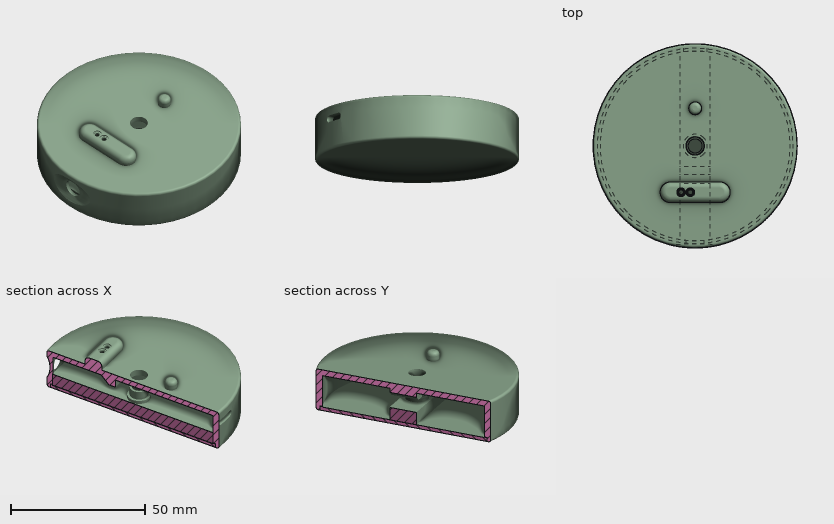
import cadquery as cq
import math

HOUSING_RADIUS = 38.0
HOUSING_HEIGHT = 16.7
RIM_FILLET = 1.0
CAVITY_RADIUS = 35.35
CEILING_Z = 14.2

OVERALL_HEIGHT = 20.2
RAISED_HEIGHT = OVERALL_HEIGHT - HOUSING_HEIGHT
STUD_LENGTH = 26.1
STUD_WIDTH = 7.7
STUD_FILLET = 2.2
STUD_Y = -17.25
PEG_DIAMETER = 4.8
PEG_FLAT_DIAMETER = 1.8
PEG_Y = 14.0

CENTRE_HOLE_DIAMETER = 6.6

PORT_Z = 9.05
THROAT_DIAMETER = 6.8
THROAT_RADIUS = THROAT_DIAMETER / 2
THROAT_START_RADIUS = 36.55
FLARE_HALF_WIDTH = 9.1
FLARE_HALF_HEIGHT = 5.55
FLARE_CURVE_POINTS = 24
CUT_MARGIN = 0.2

SLOT_WIDTH = 8.8
SLOT_HEIGHT = 2.5
SLOT_Z = 11.6

LID_DIAMETER = 72.8
LID_THICKNESS = 1.6

BLOCK_HALF_WIDTH = 5.55
BLOCK_FRONT_Y = -35.2
BLOCK_TOP_Z = 6.6
FLANGE_DIAMETER = 8.8
FLANGE_TOP_Z = 8.0
BUSHING_DIAMETER = 6.9
BUSHING_BORE_DIAMETER = 5.25
BUSHING_TOP_Z = 11.4

RIB_BOTTOM_Z = 10.95
RIB_FRONT_Y = -10.65
RIB_BACK_Y = -7.6
RIB_BEVEL = CEILING_Z - RIB_BOTTOM_Z

CONTACT_XS = (-5.25, -1.8)
CONTACT_DIAMETER = 2.8
CONTACT_BOTTOM_Z = 15.2
COUNTERBORE_DIAMETER = 3.2
COUNTERBORE_DEPTH = 0.45
CONTACT_TOP_Z = OVERALL_HEIGHT - COUNTERBORE_DEPTH
SOCKET_MOUTH_DIAMETER = 2.35
SOCKET_MOUTH_DEPTH = 0.15
SOCKET_DIAMETER = 1.8
SOCKET_DEPTH = 3.05


def cylinder(diameter, bottom_z, top_z, x=0.0, y=0.0):
    """Upright cylinder between two heights."""
    return cq.Workplane("XY", origin=(x, y, bottom_z)).circle(diameter / 2).extrude(top_z - bottom_z)


def make_stud():
    """Long rounded stud with fully rounded ends and a filleted top edge."""
    stud = cq.Workplane("XY", origin=(0, STUD_Y, HOUSING_HEIGHT)).slot2D(STUD_LENGTH, STUD_WIDTH)
    return stud.extrude(RAISED_HEIGHT).faces(">Z").edges().fillet(STUD_FILLET)


def make_peg():
    """Round peg whose fillet leaves a small flat on top."""
    peg = cylinder(PEG_DIAMETER, HOUSING_HEIGHT, OVERALL_HEIGHT, y=PEG_Y)
    return peg.faces(">Z").edges().fillet((PEG_DIAMETER - PEG_FLAT_DIAMETER) / 2)


def make_rib():
    """Rib hanging from the ceiling, with a 45 degree bevel on its -Y side."""
    profile = [
        (RIB_BACK_Y, CEILING_Z),
        (RIB_FRONT_Y - RIB_BEVEL, CEILING_Z),
        (RIB_FRONT_Y, RIB_BOTTOM_Z),
        (RIB_BACK_Y, RIB_BOTTOM_Z),
    ]
    return cq.Workplane("YZ").polyline(profile).close().extrude(BLOCK_HALF_WIDTH, both=True)


def wall_point(radius, x, height):
    """Point on the -Y side of an upright cylinder, at a height above the port axis."""
    return cq.Vector(x, -math.sqrt(radius**2 - x**2), PORT_Z + height)


def flare_rim(plane_y):
    """Closed curve in which the straight lines of the port flare cross a plane of constant Y.

    Each line joins the round start of the throat, inside the wall, to the oval rim on the outer wall.
    """
    angles = [2 * math.pi * i / FLARE_CURVE_POINTS for i in range(FLARE_CURVE_POINTS)]
    points = []
    for angle in angles:
        across, up = math.cos(angle), math.sin(angle)
        inner = wall_point(THROAT_START_RADIUS, THROAT_RADIUS * across, THROAT_RADIUS * up)
        outer = wall_point(HOUSING_RADIUS, FLARE_HALF_WIDTH * across, FLARE_HALF_HEIGHT * up)
        along = (plane_y - inner.y) / (outer.y - inner.y)
        points.append(inner + (outer - inner) * along)
    return cq.Edge.makeSpline(points, periodic=True, parameters=angles + [2 * math.pi])


def make_flare():
    """Flared cutter whose narrow end lies inside the throat and whose wide end is outside the wall."""
    throat_start_y = -math.sqrt(THROAT_START_RADIUS**2 - THROAT_RADIUS**2)
    inner_rim = flare_rim(throat_start_y + CUT_MARGIN)
    outer_rim = flare_rim(-HOUSING_RADIUS - CUT_MARGIN)
    side = cq.Face.makeRuledSurface(inner_rim, outer_rim)
    ends = [cq.Face.makeFromWires(cq.Wire.assembleEdges([rim])) for rim in (inner_rim, outer_rim)]
    return cq.Workplane(cq.Solid.makeSolid(cq.Shell.makeShell([side, *ends])))


def make_throat():
    """Round cutter for the inner part of the port, from within the flare into the cavity."""
    start = cq.Workplane("XZ", origin=(0, -THROAT_START_RADIUS, PORT_Z)).circle(THROAT_RADIUS)
    reach = THROAT_START_RADIUS - CAVITY_RADIUS + THROAT_RADIUS
    return start.extrude(-reach)


def make_cable_slot():
    """Flat round-ended slot from the cavity through the +Y wall."""
    start_y = CAVITY_RADIUS - SLOT_WIDTH / 2
    slot = cq.Workplane("XZ", origin=(0, start_y, SLOT_Z)).slot2D(SLOT_WIDTH, SLOT_HEIGHT)
    return slot.extrude(start_y - HOUSING_RADIUS)


def make_housing():
    """Hollow cap with its stud, peg, rib and openings."""
    housing = cylinder(2 * HOUSING_RADIUS, 0, HOUSING_HEIGHT)
    housing = housing.edges().fillet(RIM_FILLET)
    housing = housing.cut(cylinder(LID_DIAMETER, 0, LID_THICKNESS))
    housing = housing.cut(cylinder(2 * CAVITY_RADIUS, LID_THICKNESS, CEILING_Z))
    housing = housing.union(make_stud()).union(make_peg()).union(make_rib())
    housing = housing.cut(cylinder(CENTRE_HOLE_DIAMETER, CEILING_Z, HOUSING_HEIGHT))
    housing = housing.cut(make_flare()).cut(make_throat()).cut(make_cable_slot())
    for x in CONTACT_XS:
        housing = housing.cut(cylinder(CONTACT_DIAMETER, CONTACT_BOTTOM_Z, CONTACT_TOP_Z, x, STUD_Y))
        housing = housing.cut(cylinder(COUNTERBORE_DIAMETER, CONTACT_TOP_Z, OVERALL_HEIGHT, x, STUD_Y))
    return housing


def make_lid():
    """Round plate that fits flush in the bottom of the housing."""
    return cylinder(LID_DIAMETER, 0, LID_THICKNESS)


def make_block():
    """Long support block standing on the lid, its corners rounded to the cavity wall."""
    length = -2 * BLOCK_FRONT_Y
    block = cq.Workplane("XY", origin=(0, 0, LID_THICKNESS)).rect(2 * BLOCK_HALF_WIDTH, length)
    block = block.extrude(BLOCK_TOP_Z - LID_THICKNESS)
    return block.intersect(cylinder(2 * CAVITY_RADIUS, LID_THICKNESS, BLOCK_TOP_Z))


def make_bushing():
    """Flanged round bushing, bored through, standing on the block below the centre hole."""
    flange = cylinder(FLANGE_DIAMETER, BLOCK_TOP_Z, FLANGE_TOP_Z)
    bushing = flange.union(cylinder(BUSHING_DIAMETER, FLANGE_TOP_Z, BUSHING_TOP_Z))
    return bushing.cut(cylinder(BUSHING_BORE_DIAMETER, BLOCK_TOP_Z, BUSHING_TOP_Z))


def make_contact(x):
    """Contact sleeve with a stepped blind socket."""
    contact = cylinder(CONTACT_DIAMETER, CONTACT_BOTTOM_Z, CONTACT_TOP_Z, x, STUD_Y)
    mouth = cylinder(SOCKET_MOUTH_DIAMETER, CONTACT_TOP_Z - SOCKET_MOUTH_DEPTH, CONTACT_TOP_Z, x, STUD_Y)
    socket = cylinder(SOCKET_DIAMETER, CONTACT_TOP_Z - SOCKET_DEPTH, CONTACT_TOP_Z, x, STUD_Y)
    return contact.cut(mouth).cut(socket)


housing = make_housing()
lid = make_lid()
block = make_block()
bushing = make_bushing()
contacts = [make_contact(x) for x in CONTACT_XS]

result = cq.Compound.makeCompound(
    [housing.val(), lid.val(), block.val(), bushing.val(), *[contact.val() for contact in contacts]]
)